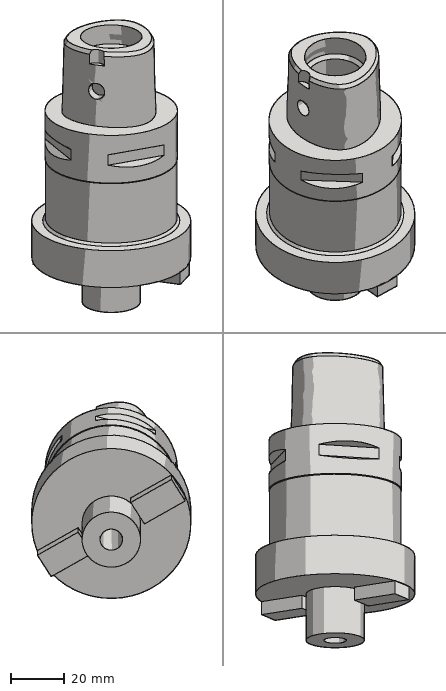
import cadquery as cq
import math

TOTAL_HEIGHT = 108.0
KEY_BOTTOM = 13.0
FLANGE_BOTTOM = 18.0
FLANGE_TOP = 33.0
BODY_CHAMFER_TOP = 34.0
COLLAR_BOTTOM = 58.2
COLLAR_TOP = 78.0
GRIP_LEVEL = 67.9

PILOT_DIAMETER = 22.0
FLANGE_DIAMETER = 60.0
BODY_DIAMETER = 49.7
COLLAR_DIAMETER = 50.0
COLLAR_EDGE_CHAMFER = 0.3
BODY_FOOT_DIAMETER = 51.7

KEY_WIDTH = 10.0
KEY_INNER = 11.6
KEY_OUTER = 29.5

SHANK_BASE_RADIUS = 17.7
SHANK_TAPER = 1 / 40
LOBE_ECCENTRICITY = 1.0
LOBE_COUNT = 3
LOBE_SAMPLES = 48
LOBE_ANGLE = math.pi / 2
TIP_CHAMFER_HEIGHT = 1.5
TIP_CHAMFER_WIDTH = 1.0

MOUTH_RADIUS = 11.6
MOUTH_DEPTH = 3.9
FLARE_DEPTH = 6.3
GROOVE_RADIUS = 12.0
SEAT_DEPTH = 9.3
BORE_RADIUS = 10.6
BORE_DEPTH = TOTAL_HEIGHT - COLLAR_TOP
SCREW_HEAD_RADIUS = 7.5
SCREW_HEAD_DEPTH = 49.7
THROUGH_RADIUS = 4.2

NOTCH_RADIUS = 3.2
NOTCH_CENTRE_Y = -17.2
NOTCH_DEPTH = 5.4
PIN_HOLE_DIAMETER = 6.4
PIN_HOLE_LEVEL = 92.0
PIN_HOLE_BOTTOM_Y = -12.2

GRIP_COUNT = 4
GRIP_FLOOR_DISTANCE = 22.1
GRIP_FLOOR_HEIGHT = 4.2
GRIP_RIM_HEIGHT = 6.8


def lobed_wire(mean_radius, level):
    """Closed three-lobed curve whose parallel offsets keep the same eccentricity."""

    def point(t):
        angle = 2 * math.pi * t
        phase = LOBE_COUNT * (angle - LOBE_ANGLE)
        support = mean_radius + LOBE_ECCENTRICITY * math.cos(phase)
        slope = -LOBE_COUNT * LOBE_ECCENTRICITY * math.sin(phase)
        x = support * math.cos(angle) - slope * math.sin(angle)
        y = support * math.sin(angle) + slope * math.cos(angle)
        return (x, y, level)

    samples = LOBE_SAMPLES
    points = [cq.Vector(*point(i / samples)) for i in range(samples)]
    return cq.Wire.assembleEdges([cq.Edge.makeSpline(points, periodic=True)])


def make_shank():
    chamfer_level = TOTAL_HEIGHT - TIP_CHAMFER_HEIGHT
    chamfer_radius = SHANK_BASE_RADIUS - SHANK_TAPER * (chamfer_level - COLLAR_TOP)
    base = lobed_wire(SHANK_BASE_RADIUS, COLLAR_TOP)
    shoulder = lobed_wire(chamfer_radius, chamfer_level)
    tip = lobed_wire(chamfer_radius - TIP_CHAMFER_WIDTH, TOTAL_HEIGHT)
    taper = cq.Solid.makeLoft([base, shoulder], True)
    chamfer = cq.Solid.makeLoft([shoulder, tip], True)
    return cq.Workplane(obj=taper).union(cq.Workplane(obj=chamfer))


def make_turned_body():
    body_radius = BODY_DIAMETER / 2
    collar_radius = COLLAR_DIAMETER / 2
    profile = [
        (0, 0),
        (PILOT_DIAMETER / 2, 0),
        (PILOT_DIAMETER / 2, FLANGE_BOTTOM),
        (FLANGE_DIAMETER / 2, FLANGE_BOTTOM),
        (FLANGE_DIAMETER / 2, FLANGE_TOP),
        (BODY_FOOT_DIAMETER / 2, FLANGE_TOP),
        (body_radius, BODY_CHAMFER_TOP),
        (body_radius, COLLAR_BOTTOM),
        (collar_radius, COLLAR_BOTTOM + COLLAR_EDGE_CHAMFER),
        (collar_radius, COLLAR_TOP),
        (0, COLLAR_TOP),
    ]
    return cq.Workplane("XZ").polyline(profile).close().revolve(360, (0, 0), (0, 1))


def make_key(side):
    length = KEY_OUTER - KEY_INNER
    height = FLANGE_BOTTOM - KEY_BOTTOM
    key = cq.Workplane("XY").box(length, KEY_WIDTH, height, centered=(True, True, False))
    return key.translate((side * (KEY_INNER + KEY_OUTER) / 2, 0, KEY_BOTTOM))


def make_bore():
    seat_level = TOTAL_HEIGHT - SEAT_DEPTH
    cone_level = seat_level + GROOVE_RADIUS - BORE_RADIUS
    mouth_level = TOTAL_HEIGHT - MOUTH_DEPTH
    flare_level = TOTAL_HEIGHT - FLARE_DEPTH
    bore_floor = TOTAL_HEIGHT - BORE_DEPTH
    screw_head_floor = TOTAL_HEIGHT - SCREW_HEAD_DEPTH
    profile = [
        (0, 0),
        (THROUGH_RADIUS, 0),
        (THROUGH_RADIUS, screw_head_floor),
        (SCREW_HEAD_RADIUS, screw_head_floor),
        (SCREW_HEAD_RADIUS, bore_floor),
        (BORE_RADIUS, bore_floor),
        (BORE_RADIUS, seat_level),
        (GROOVE_RADIUS, cone_level),
        (GROOVE_RADIUS, flare_level),
        (MOUTH_RADIUS, mouth_level),
        (MOUTH_RADIUS, TOTAL_HEIGHT),
        (0, TOTAL_HEIGHT),
    ]
    return cq.Workplane("XZ").polyline(profile).close().revolve(360, (0, 0), (0, 1))


def make_notch():
    notch = cq.Workplane("XY", origin=(0, NOTCH_CENTRE_Y, TOTAL_HEIGHT))
    return notch.circle(NOTCH_RADIUS).extrude(-NOTCH_DEPTH)


def make_pin_hole():
    length = SHANK_BASE_RADIUS + PIN_HOLE_BOTTOM_Y
    hole = cq.Workplane("XZ", origin=(0, PIN_HOLE_BOTTOM_Y, PIN_HOLE_LEVEL))
    return hole.circle(PIN_HOLE_DIAMETER / 2).extrude(length)


def make_grip_slot(angle):
    """Straight tangential slot with a flat floor and walls flaring outward."""
    rim = COLLAR_DIAMETER / 2
    profile = [
        (GRIP_FLOOR_DISTANCE, -GRIP_FLOOR_HEIGHT / 2),
        (rim, -GRIP_RIM_HEIGHT / 2),
        (rim, GRIP_RIM_HEIGHT / 2),
        (GRIP_FLOOR_DISTANCE, GRIP_FLOOR_HEIGHT / 2),
    ]
    slot = cq.Workplane("XZ").polyline(profile).close().extrude(rim, both=True)
    return slot.translate((0, 0, GRIP_LEVEL)).rotate((0, 0, 0), (0, 0, 1), angle)


result = make_turned_body().union(make_shank())
for side in (-1, 1):
    result = result.union(make_key(side))

result = result.cut(make_bore()).cut(make_notch()).cut(make_pin_hole())
for i in range(GRIP_COUNT):
    result = result.cut(make_grip_slot((i + 0.5) * 360 / GRIP_COUNT))